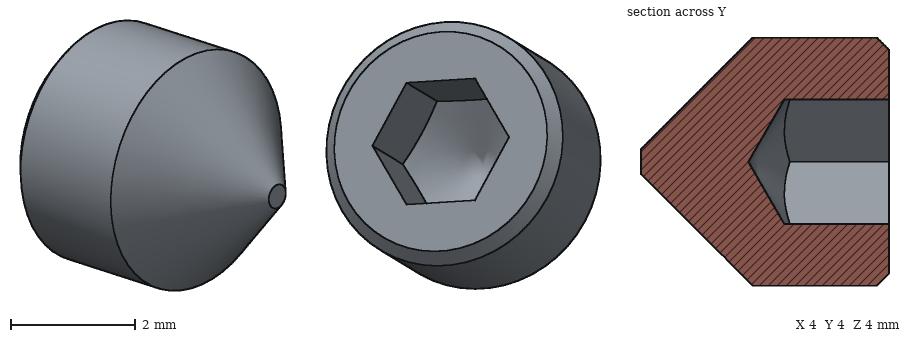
import cadquery as cq
import math

length = 4.0
diameter = 4.0
end_chamfer = 0.2
tip_diameter = 0.4
socket_across_flats = 2.0
socket_depth = 1.6
drill_point_angle = 120.0

radius = diameter / 2
tip_radius = tip_diameter / 2
point_length = radius - tip_radius
shoulder_x = length - point_length
socket_across_corners = socket_across_flats / math.cos(math.radians(30))
socket_corner_radius = socket_across_corners / 2
drill_point_depth = socket_corner_radius / math.tan(math.radians(drill_point_angle / 2))


def screw_body():
    """Chamfered cylinder and truncated cone, revolved about X."""
    profile = [
        (0, 0),
        (0, radius - end_chamfer),
        (end_chamfer, radius),
        (shoulder_x, radius),
        (length, tip_radius),
        (length, 0),
    ]
    return cq.Workplane("XZ").polyline(profile).close().revolve(360, (0, 0), (1, 0))


def hexagon_socket():
    """Hexagonal prism with corners along Y, ending in a conical drill point."""
    full_depth = socket_depth + drill_point_depth
    prism = cq.Workplane("YZ").polygon(6, socket_across_corners).extrude(full_depth)
    drill_profile = [
        (0, 0),
        (0, socket_corner_radius),
        (socket_depth, socket_corner_radius),
        (full_depth, 0),
    ]
    drill = cq.Workplane("XZ").polyline(drill_profile).close().revolve(360, (0, 0), (1, 0))
    return prism.intersect(drill)


result = screw_body().cut(hexagon_socket())